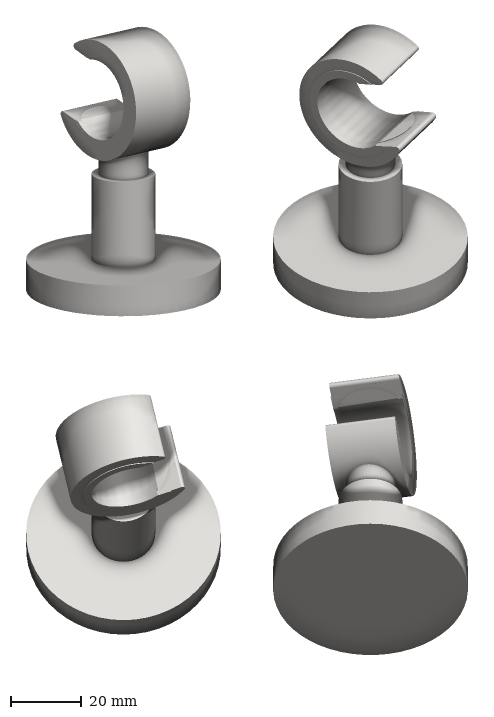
import cadquery as cq
import math

total_height = 75.0
disc_radius = 27.5
disc_height = 9.0
post_radius = 9.0
post_top = 34.1
neck_radius = 7.05

clip_radius = 17.5
clip_width = 20.0
clip_half_width = clip_width / 2
clip_center_z = total_height - clip_radius
mouth_half_width = 10.05
mouth_tilt = 15.0
tip_fillet = 1.0

liner_shift = 0.2
liner_sphere_radius = 15.8
liner_shoulder_radius = 13.8
bore_front_radius = 11.6
bore_back_radius = 11.3
liner_lip_height = 0.3
lip_step_width = 1.4

liner_front_y = -clip_half_width + liner_shift
liner_back_y = clip_half_width + liner_shift


def sphere_section_radius(y):
    """Radius of the liner sphere at distance y from its center."""
    return math.sqrt(liner_sphere_radius**2 - y**2)


def place_on_clip_axis(body):
    return body.translate((0, 0, clip_center_z))


def y_cylinder(radius):
    """Cylinder along Y, as wide as the clip and centered on the origin."""
    return cq.Workplane("XZ").circle(radius).extrude(clip_half_width, both=True)


def mouth_cutter(half_width):
    """Tilted slot from the ring center out through its -X side."""
    length = 2 * clip_radius
    return (
        cq.Workplane("XY")
        .box(length, 2 * clip_width, 2 * half_width)
        .translate((-length / 2, 0, 0))
        .rotate((0, 0, 0), (0, 1, 0), mouth_tilt)
    )


def revolved_plug(front_y):
    """Solid with the outer shape of the liner, starting at front_y."""
    shoulder_y = math.sqrt(liner_sphere_radius**2 - liner_shoulder_radius**2)
    return (
        cq.Workplane("XY")
        .moveTo(0, front_y)
        .lineTo(sphere_section_radius(front_y), front_y)
        .threePointArc((liner_sphere_radius, 0), (liner_shoulder_radius, shoulder_y))
        .lineTo(liner_shoulder_radius, liner_back_y)
        .lineTo(0, liner_back_y)
        .close()
        .revolve(360, (0, 0, 0), (0, 1, 0))
    )


def liner_bore():
    """Slightly tapered bore, narrowing toward +Y."""
    return (
        cq.Workplane("XY")
        .moveTo(0, liner_front_y)
        .lineTo(bore_front_radius, liner_front_y)
        .lineTo(bore_back_radius, liner_back_y)
        .lineTo(0, liner_back_y)
        .close()
        .revolve(360, (0, 0, 0), (0, 1, 0))
    )


def lip_step_cutter():
    """Slot outside a sphere, which steps the outer margin of each liner lip down to the clip lips."""
    core_radius = liner_sphere_radius - lip_step_width
    return mouth_cutter(mouth_half_width).cut(cq.Workplane("XY").sphere(core_radius))


def make_clip():
    ring = y_cylinder(clip_radius).cut(mouth_cutter(mouth_half_width))
    tips = ring.edges("|Y").edges(cq.selectors.BoxSelector(
        (-clip_radius, -clip_width, -clip_radius), (-mouth_half_width / 2, clip_width, clip_radius)))
    ring = tips.fillet(tip_fillet)
    return place_on_clip_axis(ring.cut(revolved_plug(-clip_half_width)))


def make_liner():
    sleeve = revolved_plug(liner_front_y).cut(liner_bore())
    sleeve = sleeve.cut(mouth_cutter(mouth_half_width - liner_lip_height))
    return place_on_clip_axis(sleeve.cut(lip_step_cutter()))


def make_stand():
    post_height = post_top - disc_height
    stand = (
        cq.Workplane("XY")
        .circle(disc_radius).extrude(disc_height)
        .faces(">Z").workplane().circle(post_radius).extrude(post_height)
        .faces(">Z").workplane().circle(neck_radius).extrude(clip_center_z - clip_radius / 2 - post_top)
    )
    return stand.cut(place_on_clip_axis(y_cylinder(clip_radius)))


stand = make_stand()
clip = make_clip()
liner = make_liner()

result = cq.Compound.makeCompound([stand.val(), clip.val(), liner.val()])